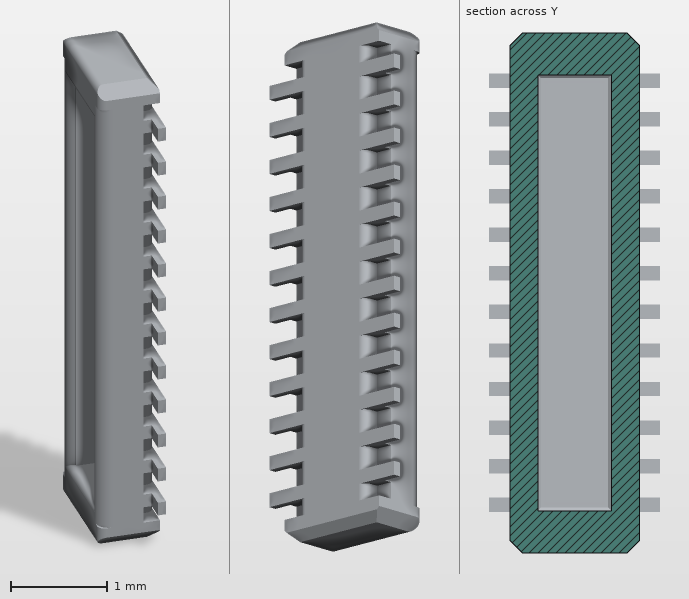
import cadquery as cq

BODY_WIDTH = 1.35
BODY_DEPTH = 0.66
BODY_LENGTH = 5.4
HALF_WIDTH = BODY_WIDTH / 2
HALF_LENGTH = BODY_LENGTH / 2
FRONT_Y = -BODY_DEPTH / 2
BACK_Y = BODY_DEPTH / 2

FRONT_FILLET = 0.08
END_SIDE_CHAMFER = 0.13
END_BACK_CHAMFER = 0.1

CAVITY_WIDTH = 0.76
CAVITY_DEPTH = 0.54
FLOOR_CHAMFER = 0.03
CAVITY_END_FILLET = 0.075
CAP_LENGTH = 0.365
RAIL_END_SETBACK = 0.24
CAVITY_LENGTH = BODY_LENGTH - 2 * (CAP_LENGTH + CAVITY_END_FILLET)
RAIL_LENGTH = BODY_LENGTH - 2 * RAIL_END_SETBACK
RAIL_RADIUS = (BODY_WIDTH - CAVITY_WIDTH) / 4
RAIL_CREST_X = HALF_WIDTH - RAIL_RADIUS

LEAD_COUNT = 12
LEAD_PITCH = 0.4
LEAD_WIDTH = 0.15
LEAD_THICKNESS = 0.09
LEAD_SPAN = 1.78
FIRST_LEAD_Z = -(LEAD_COUNT - 1) * LEAD_PITCH / 2
RECESS_HEIGHT = 0.18
RECESS_DEPTH = 0.2
RECESS_ROUND = 0.09
RECESS_END_SETBACK = 0.245

SIDES = (-1, 1)


def box(x_min, x_max, y_min, y_max, z_min, z_max):
    size = (x_max - x_min, y_max - y_min, z_max - z_min)
    return cq.Workplane("XY").box(*size, centered=False).translate((x_min, y_min, z_min))


def make_body():
    """Block with rounded front edges, then flat chamfers on the sides and back of both ends."""
    body = cq.Workplane("XY").box(BODY_WIDTH, BODY_DEPTH, BODY_LENGTH)
    body = body.faces("<Y").edges().fillet(FRONT_FILLET)
    side_outline = (
        cq.Workplane("XZ")
        .rect(BODY_WIDTH, BODY_LENGTH)
        .extrude(HALF_WIDTH, both=True)
        .edges("|Y")
        .chamfer(END_SIDE_CHAMFER)
    )
    back_outline = (
        cq.Workplane("YZ")
        .rect(BODY_DEPTH, BODY_LENGTH)
        .extrude(BODY_WIDTH, both=True)
        .edges("|X and >Y")
        .chamfer(END_BACK_CHAMFER)
    )
    return body.intersect(side_outline).intersect(back_outline)


def make_cavity():
    """Pocket open to the front, with a chamfered floor and flared rounded ends."""
    half_cavity = CAVITY_LENGTH / 2
    floor_y = FRONT_Y + CAVITY_DEPTH
    pocket = (
        box(-CAVITY_WIDTH / 2, CAVITY_WIDTH / 2, FRONT_Y, floor_y, -half_cavity, half_cavity)
        .faces(">Y")
        .edges()
        .chamfer(FLOOR_CHAMFER)
    )
    half_opening = half_cavity + CAVITY_END_FILLET
    round_y = FRONT_Y + CAVITY_END_FILLET
    flare = box(-RAIL_CREST_X, RAIL_CREST_X, FRONT_Y, round_y, -half_opening, half_opening)
    for end in SIDES:
        rounding = (
            cq.Workplane("YZ")
            .center(round_y, end * half_opening)
            .circle(CAVITY_END_FILLET)
            .extrude(RAIL_CREST_X, both=True)
        )
        flare = flare.cut(rounding)
    return pocket.union(flare)


def make_rail(side):
    """Side wall whose front is a full half-round running between the end caps."""
    shoulder_y = FRONT_Y + RAIL_RADIUS
    outer_x = side * HALF_WIDTH
    inner_x = side * CAVITY_WIDTH / 2
    return (
        cq.Workplane("XY", origin=(0, 0, -RAIL_LENGTH / 2))
        .moveTo(outer_x, BACK_Y)
        .lineTo(outer_x, shoulder_y)
        .threePointArc((side * RAIL_CREST_X, FRONT_Y), (inner_x, shoulder_y))
        .lineTo(inner_x, BACK_Y)
        .close()
        .extrude(RAIL_LENGTH)
    )


def make_rail_clearance(side):
    """Front strip removed from the block so that the rounded rail can take its place."""
    x_min, x_max = sorted((side * RAIL_CREST_X, side * HALF_WIDTH))
    return box(x_min, x_max, FRONT_Y, FRONT_Y + RAIL_RADIUS, -RAIL_LENGTH / 2, RAIL_LENGTH / 2)


def make_recess(side, z_min, z_max):
    """Notch in the back edge of a side wall; its inner face rounds over to the back."""
    outer_x = side * HALF_WIDTH
    inner_x = side * (HALF_WIDTH - RECESS_DEPTH)
    round_x = inner_x - side * RECESS_ROUND
    return (
        cq.Workplane("XY", origin=(0, 0, z_min))
        .moveTo(outer_x, BACK_Y)
        .lineTo(outer_x, BACK_Y - RECESS_HEIGHT)
        .lineTo(inner_x, BACK_Y - RECESS_HEIGHT)
        .lineTo(inner_x, BACK_Y - RECESS_ROUND)
        .radiusArc((round_x, BACK_Y), -side * RECESS_ROUND)
        .close()
        .extrude(z_max - z_min)
    )


def recess_spans():
    """Z ranges of the recesses: one below, between and above the leads."""
    end_z = HALF_LENGTH - RECESS_END_SETBACK
    lead_zs = [FIRST_LEAD_Z + i * LEAD_PITCH for i in range(LEAD_COUNT)]
    starts = [-end_z] + [z + LEAD_WIDTH / 2 for z in lead_zs]
    stops = [z - LEAD_WIDTH / 2 for z in lead_zs] + [end_z]
    return list(zip(starts, stops))


def make_lead(side, z):
    """Flat tail flush with the back, embedded in the wall as far as the recesses reach."""
    x_min, x_max = sorted((side * (HALF_WIDTH - RECESS_DEPTH), side * LEAD_SPAN / 2))
    half = LEAD_WIDTH / 2
    return box(x_min, x_max, BACK_Y - LEAD_THICKNESS, BACK_Y, z - half, z + half)


body = make_body()
for side in SIDES:
    body = body.cut(make_rail_clearance(side))
body = body.cut(make_cavity())
for side in SIDES:
    body = body.union(make_rail(side))
    for z_min, z_max in recess_spans():
        body = body.cut(make_recess(side, z_min, z_max))
    for index in range(LEAD_COUNT):
        body = body.union(make_lead(side, FIRST_LEAD_Z + index * LEAD_PITCH))

result = body